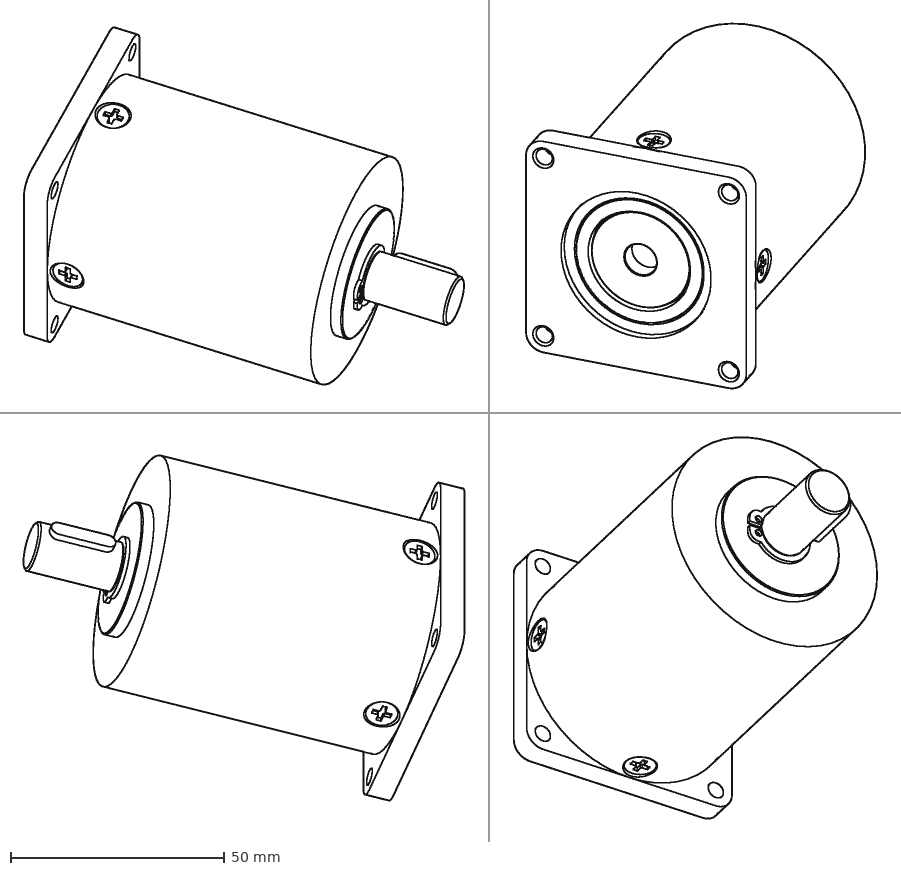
import cadquery as cq

plate_thickness = 6.0
body_end = 73.0
pilot_end = 75.95
shaft_end = 98.0

plate_side = 56.0
plate_corner_radius = 4.5
mount_hole_spacing = 47.1
mount_hole_diameter = 4.1
mount_hole_chamfer = 0.6
mount_hole_chamfer_angle = 90

body_diameter = plate_side
pilot_diameter = 32.0
pilot_chamfer = 0.3

shaft_diameter = 12.0
shaft_chamfer = 0.5
groove_diameter = 11.5
groove_width = 1.2
key_start = 79.5
key_length = 16.0
key_width = 4.0
key_top = 7.4
key_bottom = 3.5

ring_diameter = 14.8
ring_thickness = 1.0
ring_gap = 1.2
ear_reach = 9.0
ear_half_width = 4.3
ear_corner_radius = 2.4
ear_hole_diameter = 1.7

recess_diameter = 38.1
recess_depth = 2.0
rim_groove_diameter = 32.9
rim_groove_core = 32.0
rim_groove_depth = 0.4
cavity_diameter = 26.0
cavity_depth = 2.9
hub_diameter = 25.0
hub_sink = 0.8
hub_chamfer = 0.15
bore_diameter = 8.0
bore_chamfer = 0.2
bore_depth = 4.4

screw_x = 11.0
screw_count = 4
head_diameter = 7.5
head_sink = 0.5
cross_length = 4.6
cross_width = 1.2
cross_core_side = 2.1
cross_depth = 1.0


def disc(diameter, start, end):
    """Solid cylinder about the X axis between two X positions."""
    return cq.Workplane("YZ", origin=(start, 0, 0)).circle(diameter / 2).extrude(end - start)


def cone(start_diameter, end_diameter, start, end):
    """Solid frustum about the X axis between two X positions."""
    profile = [(start, 0), (start, start_diameter / 2), (end, end_diameter / 2), (end, 0)]
    return cq.Workplane("XY").polyline(profile).close().revolve(360, (0, 0, 0), (1, 0, 0))


def mounting_plate():
    mouth_diameter = mount_hole_diameter + 2 * mount_hole_chamfer
    plate = (
        cq.Workplane("YZ")
        .rect(plate_side, plate_side)
        .extrude(plate_thickness)
        .edges("|X")
        .fillet(plate_corner_radius)
    )
    return (
        plate.faces("<X")
        .workplane(centerOption="CenterOfBoundBox")
        .rect(mount_hole_spacing, mount_hole_spacing, forConstruction=True)
        .vertices()
        .cskHole(mount_hole_diameter, mouth_diameter, mount_hole_chamfer_angle)
    )


def output_shaft():
    shaft = disc(shaft_diameter, pilot_end, shaft_end).faces(">X").chamfer(shaft_chamfer)
    groove_end = pilot_end + groove_width
    groove = disc(shaft_diameter, pilot_end, groove_end).cut(disc(groove_diameter, pilot_end, groove_end))
    key = (
        cq.Workplane("XZ", origin=(key_start + key_length / 2, key_bottom, 0))
        .slot2D(key_length, key_width)
        .extrude(key_bottom - key_top)
    )
    return shaft.cut(groove).union(key)


def retaining_ring():
    ring = disc(ring_diameter, pilot_end, pilot_end + ring_thickness)
    ears = (
        cq.Workplane("YZ", origin=(pilot_end, -ear_reach / 2, 0))
        .rect(ear_reach, 2 * ear_half_width)
        .extrude(ring_thickness)
        .edges("|X and <Y")
        .fillet(ear_corner_radius)
    )
    ear_hole_y = ear_corner_radius - ear_reach
    ear_hole_z = ear_half_width - ear_corner_radius
    ear_holes = (
        cq.Workplane("YZ", origin=(pilot_end, 0, 0))
        .pushPoints([(ear_hole_y, side * ear_hole_z) for side in (-1, 1)])
        .circle(ear_hole_diameter / 2)
        .extrude(ring_thickness)
    )
    gap = (
        cq.Workplane("YZ", origin=(pilot_end, -ear_reach / 2, 0))
        .rect(ear_reach, ring_gap)
        .extrude(ring_thickness)
    )
    shaft_core = disc(groove_diameter, pilot_end, pilot_end + ring_thickness)
    return ring.union(ears).cut(ear_holes).cut(gap.cut(shaft_core))


def input_recess():
    cavity_floor = recess_depth + cavity_depth
    hub_face = recess_depth + hub_sink
    groove_floor = recess_depth + rim_groove_depth
    rim_groove = cone(rim_groove_diameter, rim_groove_core, recess_depth, groove_floor).cut(
        disc(rim_groove_core, recess_depth, groove_floor)
    )
    hub = disc(hub_diameter, hub_face, cavity_floor).faces("<X").chamfer(hub_chamfer)
    bore = disc(bore_diameter, hub_face, hub_face + bore_depth)
    bore_mouth = cone(bore_diameter + 2 * bore_chamfer, bore_diameter, hub_face, hub_face + bore_chamfer)
    return (
        disc(recess_diameter, 0, recess_depth)
        .union(rim_groove)
        .union(disc(cavity_diameter, recess_depth, cavity_floor).cut(hub))
        .union(bore)
        .union(bore_mouth)
    )


def screw_recess():
    """Cutter for one screw at the top of the housing: countersink rim plus cross socket."""
    head_level = body_diameter / 2 - head_sink
    head_plane = cq.Workplane("XY", origin=(screw_x, 0, head_level))
    rim = (
        head_plane.circle(head_diameter / 2)
        .workplane(offset=head_sink)
        .circle(head_diameter / 2 + head_sink)
        .loft()
    )
    cross = head_plane.rect(cross_length, cross_width).extrude(-cross_depth)
    cross = cross.union(head_plane.rect(cross_width, cross_length).extrude(-cross_depth))
    core = (
        head_plane.transformed(rotate=(0, 0, 45))
        .rect(cross_core_side, cross_core_side)
        .extrude(-cross_depth)
    )
    return rim.union(cross).union(core)


body = disc(body_diameter, plate_thickness, body_end)
pilot = disc(pilot_diameter, body_end, pilot_end).faces(">X").chamfer(pilot_chamfer)
result = mounting_plate().union(body).union(pilot).union(output_shaft()).union(retaining_ring())
result = result.cut(input_recess())
for index in range(screw_count):
    angle = index * 360 / screw_count
    result = result.cut(screw_recess().rotate((0, 0, 0), (1, 0, 0), angle))